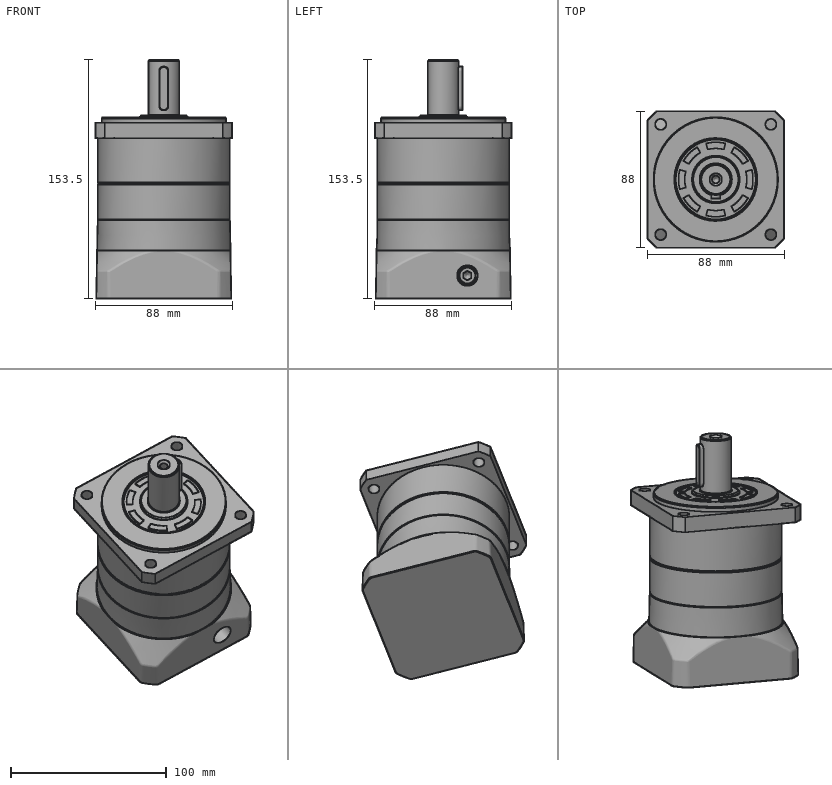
import cadquery as cq
import math

TOTAL_HEIGHT = 153.5
SHOULDER_Z = 30.9
RING_BOTTOM_Z = 50.8
RING_TOP_Z = 74.5
FLANGE_BOTTOM_Z = 103.3
FLANGE_TOP_Z = 113.3
PILOT_TOP_Z = 116.7
COLLAR_TOP_Z = 117.9

JOINT_CHAMFER = 0.38

FLANGE_SIDE = 88.0
FLANGE_CORNER_RADIUS = 58.0
BARREL_RADIUS = 42.5
PILOT_RADIUS = 40.0
PILOT_CHAMFER_HEIGHT = 0.9
PILOT_CHAMFER_WIDTH = 0.5
MOUNT_HOLE_SPACING = 70.8
MOUNT_HOLE_RADIUS = 3.5

RING_TOP_CHAMFER = 0.9

SEAL_RADIUS = 26.0
SEAL_CHAMFER = 0.3
SEAL_THICKNESS = 7.7
SEAL_RECESS = 0.3
BORE_CHAMFER = 0.8
POCKET_COUNT = 8
POCKET_OUTER_RADIUS = 24.0
POCKET_INNER_RADIUS = 20.0
POCKET_HALF_ANGLE = math.radians(15)
POCKET_DEPTH = 0.3

SHAFT_RADIUS = 10.0
SHAFT_CHAMFER = 0.8
COLLAR_RADIUS = 15.4
COLLAR_CHAMFER = 0.9
ROOT_CHAMFER = 0.5
CENTRE_HOLE_RADIUS = 2.5
CENTRE_HOLE_DEPTH = 15.4
COUNTERSINK_RADIUS = 4.0

KEY_WIDTH = 6.0
KEY_LENGTH = 28.2
KEY_TOP_Z = 149.4
KEY_OUTER_Y = 12.5
KEY_HEIGHT = KEY_WIDTH
KEY_CHAMFER = 0.3

DRAFT_ANGLE = 1.0
BARREL_FOOT_RADIUS = 43.0
BASE_SIDE = 86.9
BASE_CORNER_RADIUS = 56.2
SHOULDER_RADIUS = 43.5
SHOULDER_SLOPE = math.radians(46)
SHOULDER_RISE = 4.6
SHOULDER_FILLET = 2.0
CORNER_FILLET = 3.7
BOTTOM_CHAMFER = 0.5

SCREW_Y = -15.5
SCREW_Z = 15.0
ACCESS_RADIUS = 6.6
ACCESS_DEPTH = 21.5
SCREW_RADIUS = 5.5
SCREW_LENGTH = 9.2
SCREW_HEAD_HEIGHT = 4.6
SCREW_CHAMFER = 0.5
SOCKET_FLATS = 5.2
SOCKET_DEPTH = 3.0

SEAL_TOP_Z = PILOT_TOP_Z - SEAL_RECESS
SEAL_BOTTOM_Z = SEAL_TOP_Z - SEAL_THICKNESS
SCREW_HEAD_X = -BASE_SIDE / 2 + ACCESS_DEPTH - SCREW_HEAD_HEIGHT


def cylinder(radius, bottom, top):
    return cq.Workplane("XY").workplane(offset=bottom).circle(radius).extrude(top - bottom)


def revolved(profile):
    """Solid turned about Z from (radius, height) points."""
    return cq.Workplane("XZ").polyline(profile).close().revolve(360, (0, 0), (0, 1))


def drafted(half_width, height):
    """Half width of a drafted wall at a height."""
    return half_width - height * math.tan(math.radians(DRAFT_ANGLE))


def on_circle(radius, angle):
    """Point at an angle on a circle about the gearbox axis."""
    return radius * math.cos(angle), radius * math.sin(angle)


def along_x(x):
    """Workplane facing +X, centred on the axis of the clamp screw."""
    return cq.Workplane("YZ", origin=(x, SCREW_Y, SCREW_Z))


def make_output_housing():
    thickness = FLANGE_TOP_Z - FLANGE_BOTTOM_Z
    flange = (
        cq.Workplane("XY")
        .workplane(offset=FLANGE_BOTTOM_Z)
        .rect(FLANGE_SIDE, FLANGE_SIDE)
        .extrude(thickness)
        .intersect(cylinder(FLANGE_CORNER_RADIUS, FLANGE_BOTTOM_Z, FLANGE_TOP_Z))
    )
    barrel = cylinder(BARREL_RADIUS, RING_TOP_Z, FLANGE_BOTTOM_Z).faces("<Z").chamfer(JOINT_CHAMFER)
    pilot = revolved([
        (0, FLANGE_TOP_Z),
        (PILOT_RADIUS, FLANGE_TOP_Z),
        (PILOT_RADIUS, PILOT_TOP_Z - PILOT_CHAMFER_HEIGHT),
        (PILOT_RADIUS - PILOT_CHAMFER_WIDTH, PILOT_TOP_Z),
        (0, PILOT_TOP_Z),
    ])
    mount_holes = (
        cq.Workplane("XY")
        .workplane(offset=FLANGE_BOTTOM_Z)
        .rect(MOUNT_HOLE_SPACING, MOUNT_HOLE_SPACING, forConstruction=True)
        .vertices()
        .circle(MOUNT_HOLE_RADIUS)
        .extrude(thickness)
    )
    seal_bore = revolved([
        (0, SEAL_BOTTOM_Z),
        (SEAL_RADIUS, SEAL_BOTTOM_Z),
        (SEAL_RADIUS, PILOT_TOP_Z - BORE_CHAMFER),
        (SEAL_RADIUS + BORE_CHAMFER, PILOT_TOP_Z),
        (0, PILOT_TOP_Z),
    ])
    return flange.cut(mount_holes).union(barrel).union(pilot).cut(seal_bore)


def make_ring_gear():
    ring = cylinder(BARREL_RADIUS, RING_BOTTOM_Z, RING_TOP_Z)
    return ring.faces(">Z").chamfer(RING_TOP_CHAMFER).faces("<Z").chamfer(JOINT_CHAMFER)


def make_seal():
    seal = cylinder(SEAL_RADIUS, SEAL_BOTTOM_Z, SEAL_TOP_Z).faces(">Z").chamfer(SEAL_CHAMFER)
    seal = seal.cut(cylinder(COLLAR_RADIUS, SEAL_BOTTOM_Z, SEAL_TOP_Z))

    pocket = (
        cq.Workplane("XY")
        .workplane(offset=SEAL_TOP_Z - POCKET_DEPTH)
        .moveTo(*on_circle(POCKET_INNER_RADIUS, -POCKET_HALF_ANGLE))
        .lineTo(*on_circle(POCKET_OUTER_RADIUS, -POCKET_HALF_ANGLE))
        .threePointArc((POCKET_OUTER_RADIUS, 0), on_circle(POCKET_OUTER_RADIUS, POCKET_HALF_ANGLE))
        .lineTo(*on_circle(POCKET_INNER_RADIUS, POCKET_HALF_ANGLE))
        .threePointArc((POCKET_INNER_RADIUS, 0), on_circle(POCKET_INNER_RADIUS, -POCKET_HALF_ANGLE))
        .close()
        .extrude(POCKET_DEPTH)
    )
    for index in range(POCKET_COUNT):
        seal = seal.cut(pocket.rotate((0, 0, 0), (0, 0, 1), index * 360 / POCKET_COUNT))
    return seal


def make_key():
    """Round-ended key standing out of the -Y side of the shaft."""
    return (
        cq.Workplane("XZ", origin=(0, KEY_HEIGHT - KEY_OUTER_Y, KEY_TOP_Z - KEY_LENGTH / 2))
        .slot2D(KEY_LENGTH, KEY_WIDTH, 90)
        .extrude(KEY_HEIGHT)
        .faces("<Y")
        .chamfer(KEY_CHAMFER)
    )


def make_shaft(key):
    countersink_depth = COUNTERSINK_RADIUS - CENTRE_HOLE_RADIUS
    hole_bottom = TOTAL_HEIGHT - CENTRE_HOLE_DEPTH
    shaft = revolved([
        (0, SEAL_BOTTOM_Z),
        (COLLAR_RADIUS, SEAL_BOTTOM_Z),
        (COLLAR_RADIUS, COLLAR_TOP_Z - COLLAR_CHAMFER),
        (COLLAR_RADIUS - COLLAR_CHAMFER, COLLAR_TOP_Z),
        (SHAFT_RADIUS + ROOT_CHAMFER, COLLAR_TOP_Z),
        (SHAFT_RADIUS, COLLAR_TOP_Z + ROOT_CHAMFER),
        (SHAFT_RADIUS, TOTAL_HEIGHT - SHAFT_CHAMFER),
        (SHAFT_RADIUS - SHAFT_CHAMFER, TOTAL_HEIGHT),
        (COUNTERSINK_RADIUS, TOTAL_HEIGHT),
        (CENTRE_HOLE_RADIUS, TOTAL_HEIGHT - countersink_depth),
        (CENTRE_HOLE_RADIUS, hole_bottom),
        (0, hole_bottom - CENTRE_HOLE_RADIUS),
    ])
    return shaft.cut(key)


def make_base_block():
    """Drafted square foot with rounded corners under a conical shoulder."""
    block_height = SHOULDER_Z + SHOULDER_RISE
    skirt = SHOULDER_Z / math.tan(SHOULDER_SLOPE)
    lead = SHOULDER_RISE / math.tan(SHOULDER_SLOPE)

    square = cq.Workplane("XY").rect(BASE_SIDE, BASE_SIDE).extrude(block_height, taper=DRAFT_ANGLE)
    corner_cone = revolved([
        (0, 0),
        (BASE_CORNER_RADIUS, 0),
        (drafted(BASE_CORNER_RADIUS, block_height), block_height),
        (0, block_height),
    ])
    shoulder = revolved([
        (0, 0),
        (SHOULDER_RADIUS + skirt, 0),
        (SHOULDER_RADIUS - lead, block_height),
        (0, block_height),
    ])
    block = square.intersect(corner_cone)
    upright_edges = [edge for edge in block.edges().vals() if edge.BoundingBox().zlen > SHOULDER_Z]
    block = block.newObject(upright_edges).fillet(CORNER_FILLET)

    block = block.intersect(shoulder)
    shoulder_edges = [edge for edge in block.edges().vals() if is_shoulder_edge(edge)]
    block = block.newObject(shoulder_edges).fillet(SHOULDER_FILLET)
    return block.faces("<Z").chamfer(BOTTOM_CHAMFER)


def is_shoulder_edge(edge):
    """True for the edges between the shoulder and the walls."""
    box = edge.BoundingBox()
    return box.zmin > SHOULDER_Z / 2 and box.zmax < SHOULDER_Z + SHOULDER_RISE / 2


def make_input_barrel():
    barrel = revolved([
        (0, SHOULDER_Z),
        (BARREL_FOOT_RADIUS, SHOULDER_Z),
        (BARREL_RADIUS, RING_BOTTOM_Z),
        (0, RING_BOTTOM_Z),
    ])
    return barrel.faces("<Z or >Z").chamfer(JOINT_CHAMFER)


def make_base():
    above_shoulder = cylinder(BASE_SIDE, SHOULDER_Z, SHOULDER_Z + SHOULDER_RISE)
    access_hole = along_x(-BASE_SIDE / 2).circle(ACCESS_RADIUS).extrude(ACCESS_DEPTH)
    return make_base_block().cut(above_shoulder).cut(access_hole).cut(make_screw_blank())


def make_screw_blank():
    """Screw before its socket is cut, standing up from the floor of the access hole."""
    blank = along_x(SCREW_HEAD_X).circle(SCREW_RADIUS).extrude(SCREW_LENGTH)
    return blank.faces("<X").chamfer(SCREW_CHAMFER)


def make_clamp_screw():
    """Screw with a hexagon socket that ends in a cone."""
    corner_radius = SOCKET_FLATS / math.sqrt(3)
    hexagon = (
        along_x(SCREW_HEAD_X)
        .transformed(rotate=(0, 0, 90))
        .polygon(6, 2 * corner_radius)
        .extrude(SOCKET_DEPTH + corner_radius)
    )
    pointed_bore = (
        cq.Workplane("XY", origin=(SCREW_HEAD_X, SCREW_Y, SCREW_Z))
        .polyline([
            (0, 0),
            (0, corner_radius),
            (SOCKET_DEPTH, corner_radius),
            (SOCKET_DEPTH + corner_radius, 0),
        ])
        .close()
        .revolve(360, (0, 0), (1, 0))
    )
    return make_screw_blank().cut(hexagon.intersect(pointed_bore))


output_housing = make_output_housing()
ring_gear = make_ring_gear()
input_barrel = make_input_barrel()
base = make_base()
seal = make_seal()
key = make_key()
shaft = make_shaft(key)
clamp_screw = make_clamp_screw()

result = cq.Compound.makeCompound([
    output_housing.val(),
    ring_gear.val(),
    input_barrel.val(),
    base.val(),
    seal.val(),
    shaft.val(),
    key.val(),
    clamp_screw.val(),
])